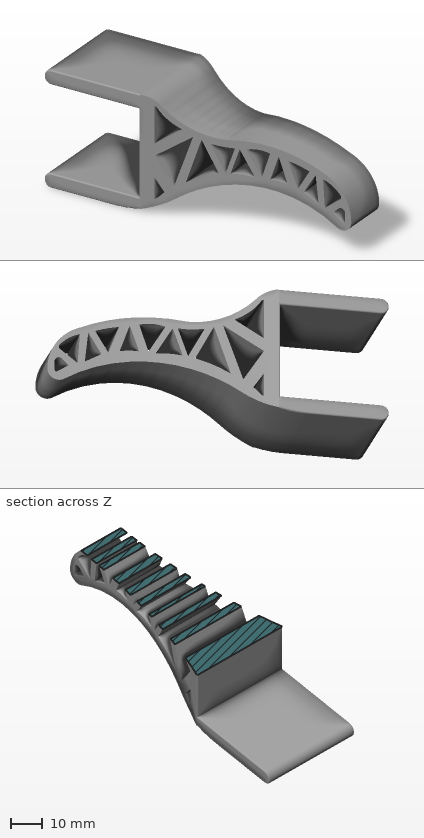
import cadquery as cq
import math


fork_height = 41.0
fork_width = 35.0
jaw_thickness = 5.0
mouth_depth = 35.0
tip_radius = jaw_thickness / 2
edge_radius = 0.5
half_height = fork_height / 2
half_width = fork_width / 2
jaw_center_z = half_height - jaw_thickness / 2
fork_end_x = mouth_depth + edge_radius

total_length = 107.95
web_end_x = 39.7
web_end_half_width = 16.2
plan_mid = (64.2, 11.2)
tip_half_width = 8.25

belly_start_x = 26.5
belly_radius = 35.5
belly_center = (belly_start_x, belly_radius - half_height)
arch_radius = 50.0
arch_top = (76.0, -4.65)
arch_center = (arch_top[0], arch_top[1] - arch_radius)

chin_radius = 3.5
chin_center = (total_length - chin_radius, -9.3)

shoulder_start = (36.0, half_height)
shoulder_mid = (39.7, 19.4)
shoulder_end = (42.4, 17.35)
hollow_mid = (52.3, 11.0)
hollow_end = (63.5, 9.4)
back_mid = (80.5, 10.05)
back_end = (97.4, 5.5)
nose_mid = (103.4, 1.75)
nose_end = (total_length, chin_center[1])

window_wall_x = 40.0
windows = [
    [("start", (window_wall_x, 17.1)), ("line", (40.5, 17.1)), ("arc", (43.6, 13.6), (49.0, 10.4)),
     ("line", (window_wall_x, 4.1))],
    [("start", (window_wall_x, -0.2)), ("line", (52.5, 8.4)), ("line", (46.3, -9.8))],
    [("start", (window_wall_x, -7.8)), ("line", (43.2, -12.4)), ("line", (40.4, -15.3)),
     ("line", (window_wall_x, -15.3))],
    [("start", (55.3, 7.9)), ("line", (61.1, -2.9)), ("arc", (55.6, -4.9), (50.1, -7.9))],
    [("start", (58.2, 7.1)), ("arc", (62.4, 6.8), (66.5, 7.0)), ("line", (63.3, -2.3))],
    [("start", (68.1, 7.0)), ("line", (73.4, -1.7)), ("arc", (69.1, -1.6), (65.0, -2.1))],
    [("start", (70.4, 7.4)), ("arc", (74.5, 8.2), (78.6, 7.7)), ("line", (75.7, -1.2))],
    [("start", (81.6, 7.3)), ("line", (84.8, -1.6)), ("arc", (81.8, -1.2), (78.7, -1.3))],
    [("start", (85.0, 6.6)), ("arc", (88.9, 5.8), (92.6, 4.7)), ("line", (88.4, -2.3))],
    [("start", (94.8, 4.0)), ("line", (95.9, -5.9)), ("line", (90.6, -3.0))],
    [("start", (97.5, 3.2)), ("arc", (101.4, 1.4), (104.15, -1.1)), ("line", (104.15, -2.1)),
     ("line", (98.2, -6.6))],
    [("start", (101.1, -7.6)), ("line", (103.2, -5.6)), ("arc", (105.1, -5.5), (105.6, -6.4)),
     ("line", (105.6, -9.6)), ("line", (105.2, -10.2))],
]


def side_sketch(start):
    """Start an XZ outline in the +Y face of the fork; extruding it runs toward -Y."""
    return cq.Workplane("XZ", origin=(0, half_width, 0)).moveTo(*start)


def circle_point(center, radius, angle):
    """Point on a circle at an angle in radians, measured from +X."""
    return (center[0] + radius * math.cos(angle), center[1] + radius * math.sin(angle))


def direction(start, end):
    """Angle in radians of the line from one point to another."""
    return math.atan2(end[1] - start[1], end[0] - start[0])


def outline_body():
    """Full side outline, extruded over the fork width."""
    down = -math.pi / 2
    chin_mid = circle_point(chin_center, chin_radius, direction(chin_center, arch_center) / 2)
    chin_end = circle_point(arch_center, arch_radius, direction(arch_center, chin_center))
    belly_end_angle = direction(belly_center, arch_center)
    belly_end = circle_point(belly_center, belly_radius, belly_end_angle)
    belly_mid = circle_point(belly_center, belly_radius, (belly_end_angle + down) / 2)
    return (
        side_sketch((0, half_height))
        .lineTo(*shoulder_start)
        .threePointArc(shoulder_mid, shoulder_end)
        .threePointArc(hollow_mid, hollow_end)
        .threePointArc(back_mid, back_end)
        .threePointArc(nose_mid, nose_end)
        .threePointArc(chin_mid, chin_end)
        .threePointArc(arch_top, belly_end)
        .threePointArc(belly_mid, (belly_start_x, -half_height))
        .lineTo(0, -half_height)
        .close()
        .extrude(fork_width)
    )


def plan_body():
    """Plan outline of the tail, extruded over the fork height."""
    return (
        cq.Workplane("XY", origin=(0, 0, -half_height))
        .moveTo(fork_end_x, half_width)
        .lineTo(web_end_x, web_end_half_width)
        .threePointArc(plan_mid, (total_length, tip_half_width))
        .lineTo(total_length, -tip_half_width)
        .threePointArc((plan_mid[0], -plan_mid[1]), (web_end_x, -web_end_half_width))
        .lineTo(fork_end_x, -half_width)
        .close()
        .extrude(fork_height)
    )


def fork_body(outline):
    """U-shaped fork with fully rounded jaw tips, trimmed to the outline, with rounded side edges."""
    root_x = mouth_depth + jaw_thickness
    web = cq.Workplane("XY").box(jaw_thickness, fork_width, fork_height)
    fork = web.translate((mouth_depth + jaw_thickness / 2, 0, 0))
    for jaw_z in (-jaw_center_z, jaw_center_z):
        jaw = (
            side_sketch((root_x, jaw_z + tip_radius))
            .lineTo(tip_radius, jaw_z + tip_radius)
            .threePointArc((0, jaw_z), (tip_radius, jaw_z - tip_radius))
            .lineTo(root_x, jaw_z - tip_radius)
            .close()
            .extrude(fork_width)
        )
        fork = fork.union(jaw)
    fork = fork.intersect(outline).clean()
    fork = fork.faces("<Y or >Y").edges("not(>X)").fillet(edge_radius)
    keep = cq.Workplane("XY").box(fork_end_x, fork_width, fork_height).translate((fork_end_x / 2, 0, 0))
    return fork.intersect(keep)


def window(sides):
    """Cutter for one truss window, through the whole width."""
    sketch = side_sketch(sides[0][1])
    for kind, *points in sides[1:]:
        sketch = sketch.threePointArc(*points) if kind == "arc" else sketch.lineTo(*points[0])
    return sketch.close().extrude(fork_width)


outline = outline_body()
tail = outline.intersect(plan_body())
for sides in windows:
    tail = tail.cut(window(sides))
result = fork_body(outline).union(tail)